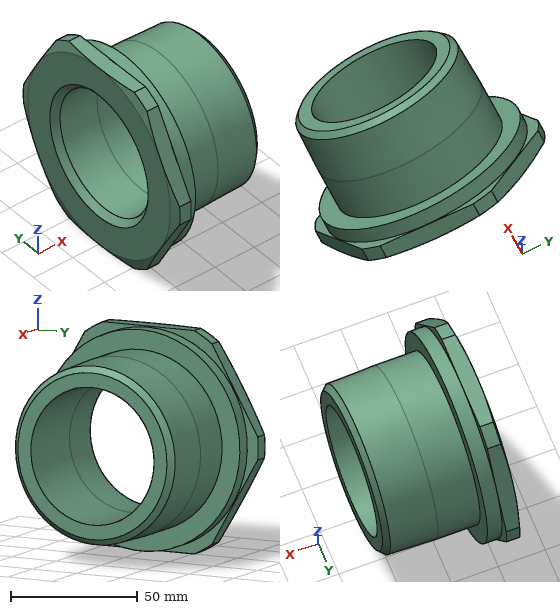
import cadquery as cq
import math

total_length = 53.5
hex_thickness = 7.0
collar_end = 13.2
taper_start = 31.1
end_chamfer = 2.4

flat_count = 6
across_flats = 90.0
corner_diameter = 99.0
head_chamfer_angle = 16.0

collar_diameter = 89.2
spigot_diameter = 73.2
thread_taper = 1 / 16

entry_diameter = 62.0
entry_chamfer_depth = 3.0
seat_diameter = 56.6
seat_length = 18.4


def revolve_about_x(profile):
    """Solid of revolution about X from (x, radius) points."""
    return cq.Workplane("XZ").polyline(profile).close().revolve(360, (0, 0, 0), (1, 0, 0))


def hexagon_head():
    """Hexagon with flats facing +/-Z, rounded corners and a conical outer face."""
    circumscribed_diameter = across_flats / math.cos(math.pi / flat_count)
    prism = cq.Workplane("YZ").polygon(flat_count, circumscribed_diameter).extrude(hex_thickness)
    face_radius = across_flats / 2
    corner_radius = corner_diameter / 2
    chamfer_depth = (corner_radius - face_radius) * math.tan(math.radians(head_chamfer_angle))
    turned_blank = revolve_about_x([
        (0, 0),
        (0, face_radius),
        (chamfer_depth, corner_radius),
        (hex_thickness, corner_radius),
        (hex_thickness, 0),
    ])
    return prism.intersect(turned_blank)


def collar_and_spigot():
    """Round collar, straight spigot, tapered thread length and end chamfer."""
    collar_radius = collar_diameter / 2
    spigot_radius = spigot_diameter / 2
    taper_end = total_length - end_chamfer
    tip_radius = spigot_radius - (taper_end - taper_start) * thread_taper / 2
    return revolve_about_x([
        (hex_thickness, 0),
        (hex_thickness, collar_radius),
        (collar_end, collar_radius),
        (collar_end, spigot_radius),
        (taper_start, spigot_radius),
        (taper_end, tip_radius),
        (total_length, tip_radius - end_chamfer),
        (total_length, 0),
    ])


def bore():
    """Through bore with an entry chamfer and a tapered thread seat."""
    seat_radius = seat_diameter / 2
    seat_end = entry_chamfer_depth + seat_length
    passage_radius = seat_radius - seat_length * thread_taper / 2
    return revolve_about_x([
        (0, 0),
        (0, entry_diameter / 2),
        (entry_chamfer_depth, seat_radius),
        (seat_end, passage_radius),
        (total_length, passage_radius),
        (total_length, 0),
    ])


result = hexagon_head().union(collar_and_spigot()).cut(bore())